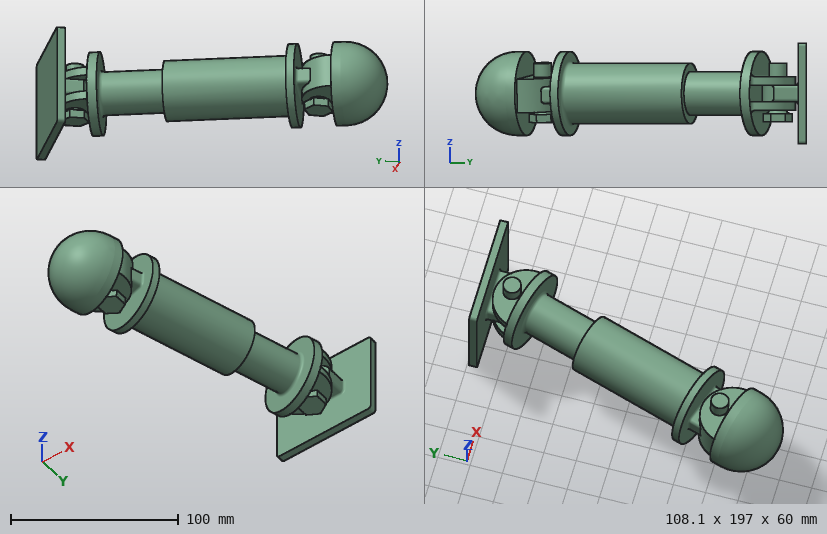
import cadquery as cq
import math

overall_length = 197.0
arm_angle = 17.25
roll_angle = 4.5

blend = 2.0
lug_blend = 1.48
ear_blend = 1.87
flange_radius = 25.0
fork_base_thickness = 6.0
tube_flange_thickness = 5.0

plate_width = 70.0
plate_height = 60.0
plate_thickness = 5.0

lug_reach = 12.0
lug_width = 30.0
lug_thickness = 10.0
lug_end_offset = 1.2
joint_radius = 20.0

ear_reach = 10.0
fork_thickness = 20.0

pin_radius = 5.3
pin_top = 18.1
head_height = 5.0
head_across_flats = 15.0

rod_radius = 13.0
rod_insertion = 39.4
tube_radius = 18.1
tube_start = 54.5

ball_radius = flange_radius
ball_center = ear_reach + fork_base_thickness
pin_y = -plate_thickness - lug_reach
arm_run = overall_length + pin_y - ball_radius
pin_spacing = arm_run / math.cos(math.radians(arm_angle)) - ball_center

select_margin = 0.2



def cylinder_along_y(radius, y_start, y_end):
    """Solid cylinder on the Y axis from y_start up to y_end."""
    return cq.Workplane("XZ", origin=(0, y_end, 0)).circle(radius).extrude(y_end - y_start)


def flanged_shaft(shaft_radius, flange_thickness, flange_face, direction, shaft_length):
    """Flange with a coaxial shaft on its back and a fillet between the two.

    The flange's front face lies at y = flange_face, and direction (1 or -1) is the way along Y
    that the shaft points. The length of the shaft counts from the flange's back.
    """
    back = flange_face + direction * flange_thickness
    shaft_end = back + direction * shaft_length
    return (
        cq.Workplane("XY")
        .moveTo(0, flange_face)
        .lineTo(flange_radius, flange_face)
        .lineTo(flange_radius, back)
        .lineTo(shaft_radius + blend, back)
        .radiusArc((shaft_radius, back + direction * blend), direction * blend)
        .lineTo(shaft_radius, shaft_end)
        .lineTo(0, shaft_end)
        .close()
        .revolve(360, (0, 0, 0), (0, 1, 0))
    )


def joint_disc(y_center):
    """Disc about a Z axis that gives a lug or an ear its round end."""
    return (
        cq.Workplane("XY", origin=(0, y_center, -fork_thickness / 2))
        .circle(joint_radius)
        .extrude(fork_thickness)
    )


def pin_hole():
    """Plug that bores a lug or a pair of ears along the pin axis."""
    bottom = cq.Workplane("XY", origin=(0, 0, -fork_thickness / 2))
    return bottom.circle(pin_radius).extrude(fork_thickness)


def lug():
    """Round-ended tongue with rounded edges, rooted at y = lug_reach."""
    bar = (
        cq.Workplane("XZ", origin=(0, lug_reach, 0))
        .rect(lug_width, lug_thickness)
        .extrude(lug_reach + joint_radius)
        .edges("|Y")
        .fillet(blend)
    )
    return bar.intersect(joint_disc(lug_reach - lug_end_offset))


def add_lug(base):
    """Join a lug to a base whose face lies at y = lug_reach, blend its root and bore it."""
    root_box = cq.selectors.BoxSelector(
        (-lug_width, lug_reach - select_margin, -lug_thickness),
        (lug_width, lug_reach + select_margin, lug_thickness),
        boundingbox=True,
    )
    return base.union(lug()).edges(root_box).fillet(lug_blend).cut(pin_hole())


def ears():
    """Pair of half-round ears without their slot, rooted at y = -ear_reach."""
    upper_half = (
        cq.Workplane("XY")
        .box(2 * joint_radius, joint_radius, fork_thickness)
        .translate((0, joint_radius / 2 - ear_reach, 0))
    )
    return joint_disc(-ear_reach).intersect(upper_half)


def fork_slot():
    """Slot from side to side between the ears, which lets a lug swing."""
    return (
        cq.Workplane("XY")
        .box(2 * flange_radius, joint_radius, lug_thickness)
        .translate((0, joint_radius / 2 - ear_reach, 0))
    )


def make_plate():
    slab = (
        cq.Workplane("XZ", origin=(0, lug_reach + plate_thickness, 0))
        .rect(plate_width, plate_height)
        .extrude(plate_thickness)
        .edges("|Y")
        .fillet(blend)
    )
    return add_lug(slab)


def make_rod():
    shaft_length = tube_start + rod_insertion - ear_reach - fork_base_thickness
    shaft = flanged_shaft(rod_radius, fork_base_thickness, -ear_reach, -1, shaft_length)
    ear_roots = cq.selectors.BoxSelector(
        (-joint_radius - select_margin, -ear_reach - select_margin, -fork_thickness),
        (joint_radius + select_margin, -ear_reach + select_margin, fork_thickness),
        boundingbox=True,
    )
    body = shaft.union(ears())
    return body.edges(ear_roots).fillet(ear_blend).cut(fork_slot()).cut(pin_hole())


def make_tube():
    open_end = pin_spacing - tube_start
    shaft_length = open_end - lug_reach - tube_flange_thickness
    shaft = flanged_shaft(tube_radius, tube_flange_thickness, lug_reach, 1, shaft_length)
    bore = cylinder_along_y(rod_radius, open_end - rod_insertion, open_end)
    return add_lug(shaft).cut(bore)


def make_ball():
    knob = (
        cq.Workplane("XY")
        .moveTo(0, -ear_reach)
        .lineTo(ball_radius, -ear_reach)
        .lineTo(ball_radius, -ball_center)
        .radiusArc((0, -ball_center - ball_radius), ball_radius)
        .close()
        .revolve(360, (0, 0, 0), (0, 1, 0))
    )
    return knob.union(ears()).cut(lug()).cut(pin_hole())


def make_pin():
    """Pin with a hexagonal head below the fork and a fillet under the head."""
    head_top = -fork_thickness / 2 - blend
    head = (
        cq.Workplane("XY", origin=(0, 0, head_top - head_height))
        .transformed(rotate=(0, 0, 90))
        .polygon(6, head_across_flats / math.cos(math.pi / 6))
        .extrude(head_height)
    )
    neck = (
        cq.Workplane("XZ")
        .moveTo(0, head_top)
        .lineTo(pin_radius + blend, head_top)
        .radiusArc((pin_radius, head_top + blend), blend)
        .lineTo(pin_radius, pin_top)
        .lineTo(0, pin_top)
        .close()
        .revolve(360, (0, 0, 0), (0, 1, 0))
    )
    return head.union(neck)


def at_plate_pin(body):
    return body.translate((0, pin_y, 0))


def on_arm(body):
    """Swing a body about the plate pin."""
    return at_plate_pin(body.rotate((0, 0, 0), (0, 0, 1), -arm_angle))


def at_ball_pin(body):
    """Twist a body about the arm's axis and move it to the far end of the arm."""
    return on_arm(body.rotate((0, 0, 0), (0, 1, 0), roll_angle).translate((0, -pin_spacing, 0)))


plate = at_plate_pin(make_plate())
rod = on_arm(make_rod())
tube = at_ball_pin(make_tube())
ball = at_ball_pin(make_ball())

pin_places = [(at_plate_pin, 0), (at_ball_pin, arm_angle)]
pins = []
for place, turn in pin_places:
    pins.append(place(make_pin().rotate((0, 0, 0), (0, 0, 1), turn)))

result = cq.Compound.makeCompound(
    [plate.val(), rod.val(), tube.val(), ball.val(), *[pin.val() for pin in pins]]
)